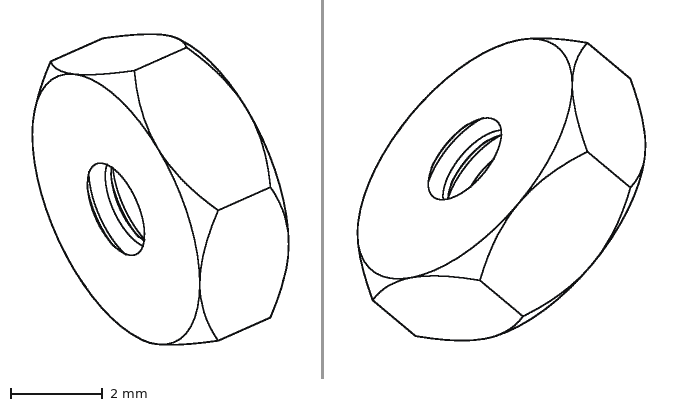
import cadquery as cq
import math

across_corners = 7.33
across_flats = across_corners * math.cos(math.radians(30))
thickness = 2.38
corner_radius = across_corners / 2
face_radius = across_flats / 2

bevel = corner_radius - face_radius

groove_count = 4
bore_diameter = 2.16
bore_radius = bore_diameter / 2
groove_share = 3 / 4
root_share = 1 / 8
flank_angle = 30.0
pitch = thickness / (groove_count - 1 + groove_share)
groove_width = groove_share * pitch
root_width = root_share * pitch
flank_run = (groove_width - root_width) / 2
root_radius = bore_radius + flank_run / math.tan(math.radians(flank_angle))


def revolve_about_y(points):
    """Solid turned about Y from (radius, height) points, with its seam at -Z."""
    profile = cq.Workplane("XY").polyline(points).close()
    solid = profile.revolve(360, (0, 0, 0), (0, 1, 0))
    return solid.rotate((0, 0, 0), (0, 1, 0), 90)


def hexagon_prism():
    prism = cq.Workplane("XZ").polygon(6, across_corners).extrude(-thickness)
    return prism.rotate((0, 0, 0), (0, 1, 0), 90)


def bevel_envelope():
    return revolve_about_y([
        (0, 0),
        (face_radius, 0),
        (corner_radius, bevel),
        (corner_radius, thickness - bevel),
        (face_radius, thickness),
        (0, thickness),
    ])


def threaded_bore():
    points = [(0, 0)]
    for index in range(groove_count):
        start = index * pitch
        points += [
            (bore_radius, start),
            (root_radius, start + flank_run),
            (root_radius, start + flank_run + root_width),
            (bore_radius, start + groove_width),
        ]
    points.append((0, thickness))
    return revolve_about_y(points)


result = hexagon_prism().intersect(bevel_envelope()).cut(threaded_bore())